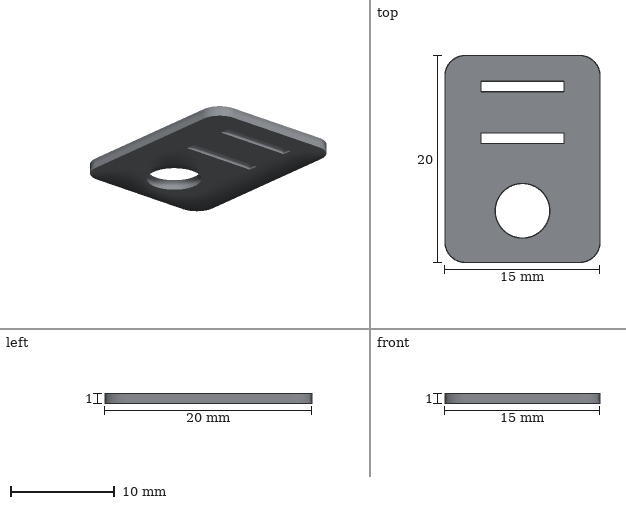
import cadquery as cq

plate_width = 15.0
plate_length = 20.0
plate_thickness = 1.0
corner_radius = 2.0

hole_diameter = 5.25
hole_y = -5.0

slot_length = 8.0
slot_width = 1.0
first_slot_y = 2.0
slot_pitch = 5.0
slot_count = 2


def make_plate():
    """Flat plate with rounded vertical corners."""
    plate = cq.Workplane("XY").rect(plate_width, plate_length).extrude(plate_thickness)
    return plate.edges("|Z").fillet(corner_radius)


def make_hole():
    """Cutter for the round through hole."""
    return cq.Workplane("XY").center(0, hole_y).circle(hole_diameter / 2).extrude(plate_thickness)


def make_slots():
    """Cutter for the row of square-ended through slots."""
    centres = [(0, first_slot_y + i * slot_pitch) for i in range(slot_count)]
    return cq.Workplane("XY").pushPoints(centres).rect(slot_length, slot_width).extrude(plate_thickness)


result = make_plate().cut(make_hole()).cut(make_slots())